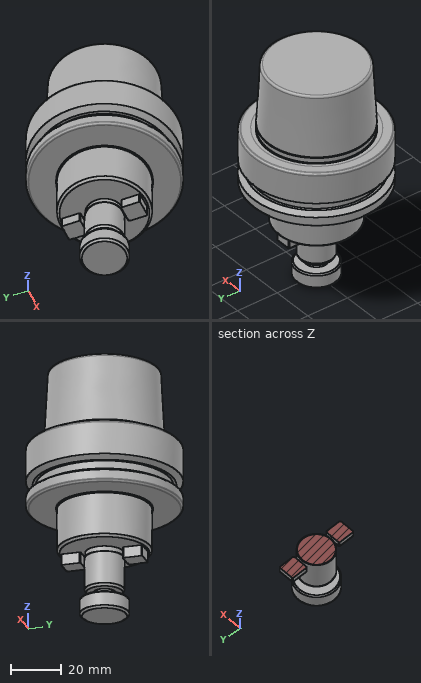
import cadquery as cq

HEAD_TOP = 7.2
DOWEL_BOTTOM = 10.1
COLLAR_BOTTOM = 24.8
HUB_BOTTOM = 27.0
FLANGE_BOTTOM = 45.9
GROOVE_BOTTOM = 52.2
GROOVE_TOP = 55.9
FLANGE_TOP = 72.2
NECK_TOP = 74.4
TAPER_BOTTOM = 75.0
TOTAL_HEIGHT = 103.9

HEAD_RADIUS = 10.0
SCREW_NECK_RADIUS = 4.4
DOWEL_RADIUS = 8.0
COLLAR_RADIUS = 7.8
HUB_RADIUS = 19.0
FLANGE_RADIUS = 31.5
GROOVE_RADIUS = 27.5
NECK_RADIUS = 24.0
TAPER_BOTTOM_RADIUS = 24.2
TAPER_TOP_RADIUS = 22.7

HEAD_BOTTOM_CHAMFER = 0.9
HEAD_TOP_CHAMFER = 0.6
SCREW_NECK_FLARE = 0.5
DOWEL_CHAMFER_HEIGHT = 1.1
DOWEL_CHAMFER_WIDTH = 0.6
HUB_CHAMFER = 1.0
HUB_FLARE = 0.4
FLANGE_CHAMFER = 0.9
FLANGE_EDGE_FILLET = 0.4
GROOVE_BEVEL_HEIGHT = 1.6
GROOVE_BEVEL_WIDTH = 2.7
FACE_RECESS_RADIUS = 26.4
FACE_RECESS_DEPTH = 0.4
NECK_FLARE = 0.3
TAPER_TOP_FILLET = 1.0

KEY_INNER_Y = 8.8
KEY_OUTER_Y = 17.0
KEY_WIDTH = 7.9
KEY_HEIGHT = 4.6
KEY_EDGE_CHAMFER = 0.4
KEY_OVERLAP = 2.1


def soften_flange_chamfers(body):
    """Round both circular edges of each outer flange chamfer."""
    reach = FLANGE_RADIUS + 1
    margin = 0.1
    for low, high in (
        (FLANGE_BOTTOM, FLANGE_BOTTOM + FLANGE_CHAMFER),
        (FLANGE_TOP - FLANGE_CHAMFER, FLANGE_TOP),
    ):
        band = cq.selectors.BoxSelector(
            (-reach, -reach, low - margin), (reach, reach, high + margin), boundingbox=True
        )
        rim_edges = band.filter(body.edges("%CIRCLE").vals())
        rim_edges = [edge for edge in rim_edges if edge.radius() > FLANGE_RADIUS - FLANGE_CHAMFER - margin]
        body = body.newObject(rim_edges).fillet(FLANGE_EDGE_FILLET)
    return body


def turned_body():
    """Revolve the half profile, listed as (radius, height), about Z."""
    profile = [
        (0, 0),
        (HEAD_RADIUS - HEAD_BOTTOM_CHAMFER, 0),
        (HEAD_RADIUS, HEAD_BOTTOM_CHAMFER),
        (HEAD_RADIUS, HEAD_TOP - HEAD_TOP_CHAMFER),
        (HEAD_RADIUS - HEAD_TOP_CHAMFER, HEAD_TOP),
        (SCREW_NECK_RADIUS + SCREW_NECK_FLARE, HEAD_TOP),
        (SCREW_NECK_RADIUS, HEAD_TOP + SCREW_NECK_FLARE),
        (SCREW_NECK_RADIUS, DOWEL_BOTTOM),
        (DOWEL_RADIUS - DOWEL_CHAMFER_WIDTH, DOWEL_BOTTOM),
        (DOWEL_RADIUS, DOWEL_BOTTOM + DOWEL_CHAMFER_HEIGHT),
        (DOWEL_RADIUS, COLLAR_BOTTOM),
        (COLLAR_RADIUS, COLLAR_BOTTOM),
        (COLLAR_RADIUS, HUB_BOTTOM),
        (HUB_RADIUS - HUB_CHAMFER, HUB_BOTTOM),
        (HUB_RADIUS, HUB_BOTTOM + HUB_CHAMFER),
        (HUB_RADIUS, FLANGE_BOTTOM - HUB_FLARE),
        (HUB_RADIUS + HUB_FLARE, FLANGE_BOTTOM),
        (FLANGE_RADIUS - FLANGE_CHAMFER, FLANGE_BOTTOM),
        (FLANGE_RADIUS, FLANGE_BOTTOM + FLANGE_CHAMFER),
        (FLANGE_RADIUS, GROOVE_BOTTOM - GROOVE_BEVEL_HEIGHT),
        (FLANGE_RADIUS - GROOVE_BEVEL_WIDTH, GROOVE_BOTTOM),
        (GROOVE_RADIUS, GROOVE_BOTTOM),
        (GROOVE_RADIUS, GROOVE_TOP),
        (FLANGE_RADIUS - GROOVE_BEVEL_WIDTH, GROOVE_TOP),
        (FLANGE_RADIUS, GROOVE_TOP + GROOVE_BEVEL_HEIGHT),
        (FLANGE_RADIUS, FLANGE_TOP - FLANGE_CHAMFER),
        (FLANGE_RADIUS - FLANGE_CHAMFER, FLANGE_TOP),
        (FACE_RECESS_RADIUS, FLANGE_TOP),
        (NECK_RADIUS + NECK_FLARE, FLANGE_TOP - FACE_RECESS_DEPTH),
        (NECK_RADIUS, FLANGE_TOP - FACE_RECESS_DEPTH + NECK_FLARE),
        (NECK_RADIUS, NECK_TOP),
        (TAPER_BOTTOM_RADIUS, TAPER_BOTTOM),
        (TAPER_TOP_RADIUS, TOTAL_HEIGHT),
        (0, TOTAL_HEIGHT),
    ]
    body = cq.Workplane("XZ").polyline(profile).close().revolve(360, (0, 0), (0, 1))
    body = body.faces(">Z").edges().fillet(TAPER_TOP_FILLET)
    return soften_flange_chamfers(body)


def drive_key(side):
    """Key on the +Y (side=1) or -Y (side=-1) half of the hub's lower face."""
    center_y = side * (KEY_INNER_Y + KEY_OUTER_Y) / 2
    return (
        cq.Workplane("XY", origin=(0, center_y, HUB_BOTTOM - KEY_HEIGHT))
        .rect(KEY_WIDTH, KEY_OUTER_Y - KEY_INNER_Y)
        .extrude(KEY_HEIGHT + KEY_OVERLAP)
        .edges("|Z")
        .chamfer(KEY_EDGE_CHAMFER)
    )


result = turned_body()
for key_side in (-1, 1):
    result = result.union(drive_key(key_side))